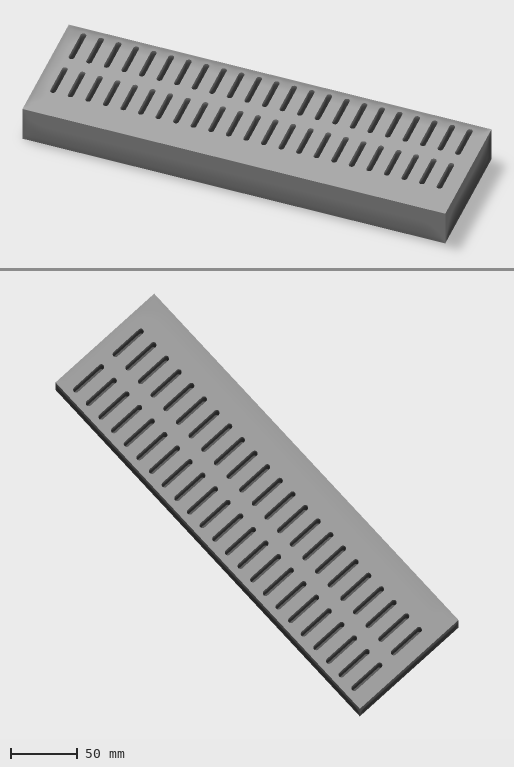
import cadquery as cq

length = 337.0
width = 100.0
height = 30.0

slots_per_row = 23
slot_length = 30.0
slot_width = 4.5
slot_depth = 20.0
end_margin = 14.5
back_margin = 5.5
row_spacing = 40.0

slot_pitch = (length - 2 * end_margin) / (slots_per_row - 1)
back_row_y = width / 2 - back_margin - slot_length / 2
row_centres = [back_row_y, back_row_y - row_spacing]


def slot_row(row_y):
    """Cutters for one row of slots, sunk from the top face."""
    return (
        cq.Workplane("XY", origin=(0, row_y, height))
        .rarray(slot_pitch, 3.5, slots_per_row, 1)
        .slot2D(slot_length, slot_width, angle=90)
        .extrude(-slot_depth)
    )


result = cq.Workplane("XY").box(length, width, height, centered=(True, True, False))
for row_y in row_centres:
    result = result.cut(slot_row(row_y))